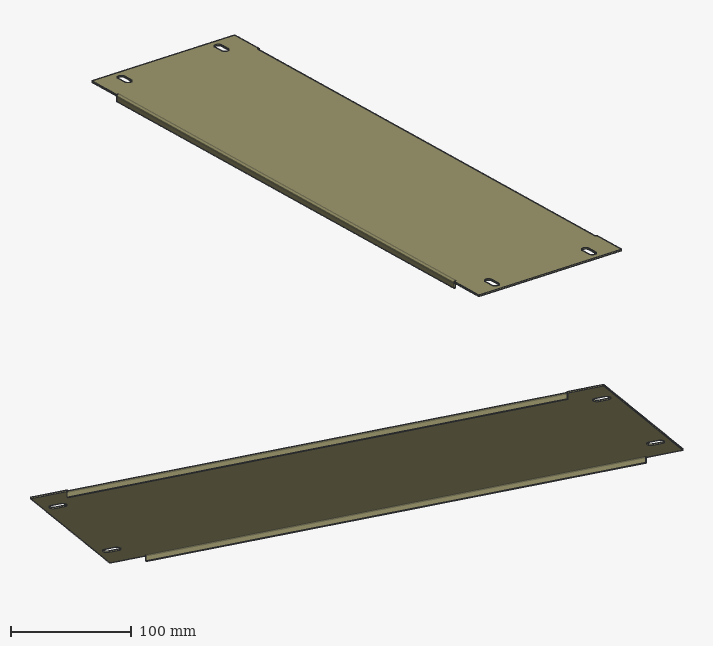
import cadquery as cq

length = 530.0
width = 149.0
thickness = 1.5

flange_length = 462.0
bend_outer_radius = 2.0
flange_drop = 4.4
bend_inner_radius = bend_outer_radius - thickness
height = bend_outer_radius + flange_drop

slot_length = 16.0
slot_width = 7.0
slot_pitch_x = 503.0
slot_pitch_y = 101.0


def make_plate():
    """Flat panel whose top face lies at Z = 0."""
    plate = cq.Workplane("XY").box(length, width, thickness, centered=(True, True, False))
    return plate.translate((0, 0, -thickness))


def make_folded_channel():
    """Middle stretch of the panel with both long edges bent downwards."""
    outer = cq.Workplane("XY").box(flange_length, width, height, centered=(True, True, False))
    outer = outer.translate((0, 0, -height)).edges("|X and >Z").fillet(bend_outer_radius)
    inner = cq.Workplane("XY").box(
        flange_length, width - 2 * thickness, height - thickness, centered=(True, True, False)
    )
    inner = inner.translate((0, 0, -height)).edges("|X and >Z").fillet(bend_inner_radius)
    return outer.cut(inner)


def make_slots():
    """Four round-ended slots, long along X."""
    return (
        cq.Workplane("XY")
        .rarray(slot_pitch_x, slot_pitch_y, 2, 2)
        .slot2D(slot_length, slot_width)
        .extrude(-thickness)
    )


middle = cq.Workplane("XY").box(flange_length, width, 2 * height)
end_tabs = make_plate().cut(middle)
result = end_tabs.union(make_folded_channel()).cut(make_slots())